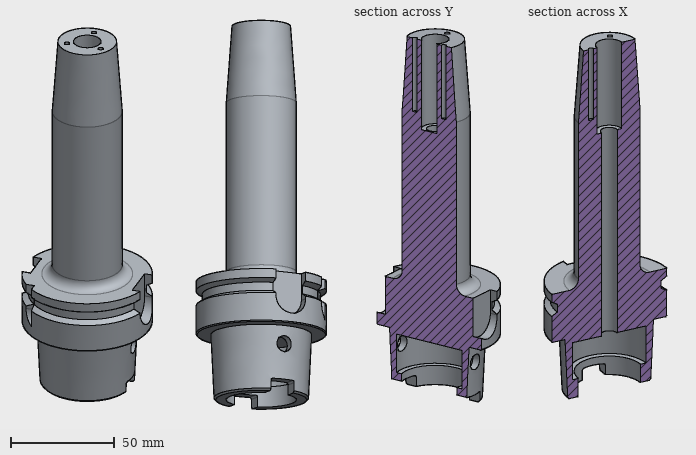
import cadquery as cq
import math

total_height = 184.4
flange_bottom = 32.0
flange_top = 58.0
cone_height = 37.8
cone_bottom = total_height - cone_height

shank_large_radius = 24.3
shank_small_radius = 22.9
shank_chamfer = 1.0

flange_radius = 31.5
flange_edge_chamfer = 0.5
groove_radius = 28.5
groove_center = flange_bottom + 17.9
groove_width = 7.4
groove_floor_width = 4.0

neck_radius = 17.0
neck_fillet = 5.0
nose_radius = 14.2

coolant_radius = 4.2
tool_bore_radius = 6.6
tool_bore_depth = 46.1
small_hole_radius = 1.3
small_hole_depth = 37.8
small_hole_circle_radius = 10.0
small_hole_count = 3

slot_floor_distance = 26.2
slot_bottom = flange_bottom + 4.8
left_slot_width = 16.0
right_slot_width = 18.3

notch_corner = 20.1
notch_cutter_radius = 8.0
notch_cutter_height = flange_bottom + 13.0

keyway_width = 12.5
keyway_height = 5.9
keyway_corner_radius = 1.0
cross_hole_radius = 3.9
cross_hole_height = 23.2

mouth_radius = 17.0
mouth_depth = 10.0
chamber_radius = 20.0
chamber_depth = 19.5


def make_body():
    """Revolve the outer profile of shank, flange, neck and nose."""
    groove_low = groove_center - groove_width / 2
    groove_high = groove_center + groove_width / 2
    floor_low = groove_center - groove_floor_width / 2
    floor_high = groove_center + groove_floor_width / 2
    fillet_center_radius = neck_radius + neck_fillet
    fillet_top = flange_top + neck_fillet
    fillet_reach = neck_fillet * math.sqrt(0.5)
    fillet_middle = (fillet_center_radius - fillet_reach, fillet_top - fillet_reach)
    profile = (
        cq.Workplane("YZ")
        .lineTo(shank_small_radius - shank_chamfer, 0)
        .lineTo(shank_small_radius, shank_chamfer)
        .lineTo(shank_large_radius, flange_bottom)
        .lineTo(flange_radius - flange_edge_chamfer, flange_bottom)
        .lineTo(flange_radius, flange_bottom + flange_edge_chamfer)
        .lineTo(flange_radius, groove_low)
        .lineTo(groove_radius, floor_low)
        .lineTo(groove_radius, floor_high)
        .lineTo(flange_radius, groove_high)
        .lineTo(flange_radius, flange_top)
        .lineTo(fillet_center_radius, flange_top)
        .threePointArc(fillet_middle, (neck_radius, fillet_top))
        .lineTo(neck_radius, cone_bottom)
        .lineTo(nose_radius, total_height)
        .lineTo(0, total_height)
        .close()
    )
    return profile.revolve(360, (0, 0, 0), (0, 1, 0))


def axial_hole(radius, depth, x=0.0, y=0.0):
    """Cylinder reaching down from the nose face."""
    bottom = total_height - depth
    return cq.Workplane("XY", origin=(x, y, bottom)).circle(radius).extrude(depth)


def drive_slot(width, side):
    """Round-bottomed slot open at the flange top; side is -1 for -X or 1 for +X."""
    radius = width / 2
    arc_center = slot_bottom + radius
    depth = flange_radius - slot_floor_distance
    return (
        cq.Workplane("YZ", origin=(side * slot_floor_distance, 0, 0))
        .moveTo(-radius, flange_top)
        .lineTo(-radius, arc_center)
        .threePointArc((0, slot_bottom), (radius, arc_center))
        .lineTo(radius, flange_top)
        .close()
        .extrude(side * depth)
    )


def orientation_notch():
    """Corner cut whose floor is left by a round cutter travelling along X."""
    cutter_y = -notch_corner - notch_cutter_radius
    length = flange_radius - notch_corner
    return (
        cq.Workplane("YZ", origin=(-notch_corner, 0, 0))
        .moveTo(-notch_corner, flange_top)
        .lineTo(-notch_corner, notch_cutter_height)
        .threePointArc(
            (cutter_y, notch_cutter_height - notch_cutter_radius),
            (cutter_y - notch_cutter_radius, notch_cutter_height),
        )
        .lineTo(cutter_y - notch_cutter_radius, flange_top)
        .close()
        .extrude(-length)
    )


def keyway():
    """Slot across the small end of the shank, along X."""
    return (
        cq.Workplane("XY")
        .box(2 * shank_large_radius, keyway_width, keyway_height, centered=(True, True, False))
        .edges("|X and >Z")
        .fillet(keyway_corner_radius)
    )


def cross_hole():
    """Round hole through the shank, along X."""
    return (
        cq.Workplane("YZ")
        .center(0, cross_hole_height)
        .circle(cross_hole_radius)
        .extrude(shank_large_radius, both=True)
    )


def clamping_cavity():
    """Stepped round hollow, open at the small end of the shank."""
    mouth = cq.Workplane("XY").circle(mouth_radius).extrude(mouth_depth)
    return mouth.faces(">Z").workplane().circle(chamber_radius).extrude(chamber_depth)


result = make_body()
result = result.cut(axial_hole(coolant_radius, total_height))
result = result.cut(axial_hole(tool_bore_radius, tool_bore_depth))
for index in range(small_hole_count):
    angle = math.radians(90 + index * 360 / small_hole_count)
    hole_x = small_hole_circle_radius * math.cos(angle)
    hole_y = small_hole_circle_radius * math.sin(angle)
    result = result.cut(axial_hole(small_hole_radius, small_hole_depth, hole_x, hole_y))

result = result.cut(drive_slot(left_slot_width, -1))
result = result.cut(drive_slot(right_slot_width, 1))
result = result.cut(orientation_notch())
result = result.cut(keyway())
result = result.cut(cross_hole())
result = result.cut(clamping_cavity())